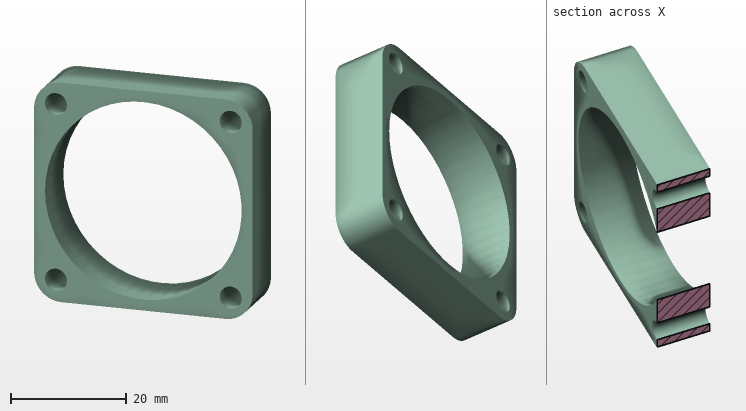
import cadquery as cq

side = 40.0
depth = 10.0
corner_radius = 5.0
bore_diameter = 36.0
screw_diameter = 4.0
screw_inset = 4.0

screw_spacing = side - 2 * screw_inset

frame = (
    cq.Workplane("XZ")
    .rect(side, side)
    .extrude(depth / 2, both=True)
    .edges("|Y")
    .fillet(corner_radius)
)

frame = frame.faces("<Y").workplane(origin=(0, 0, 0)).hole(bore_diameter)

result = (
    frame.faces("<Y")
    .workplane(origin=(0, 0, 0))
    .rect(screw_spacing, screw_spacing, forConstruction=True)
    .vertices()
    .hole(screw_diameter)
)